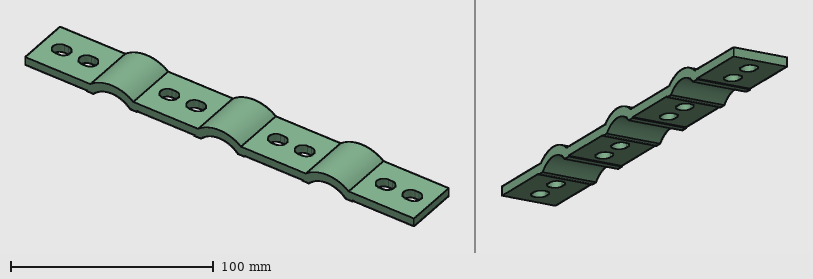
import cadquery as cq
import math

length = 233.0
width = 30.3
height = 10.0
plate_thickness = 5.0
foot_drop = 0.5
plate_top = foot_drop + plate_thickness

saddle_pitch = 64.5
saddle_length = 30.0
outer_radius = 20.0
inner_radius = 15.0
arch_center_z = height - outer_radius
saddle_centers = [-saddle_pitch, 0, saddle_pitch]

slot_length = 10.3
slot_width = 8.0
end_to_first_slot = 11.5
slot_spacing = 16.0


def half_chord(radius, z):
    """Half the width of an arch circle at height z."""
    return math.sqrt(radius**2 - (z - arch_center_z) ** 2)


def make_plate():
    """Flat strip running the full length."""
    return cq.Workplane("XY", origin=(0, 0, foot_drop)).box(
        length, width, plate_thickness, centered=(True, True, False)
    )


def make_saddle(x):
    """Arched section with two short flat feet."""
    half_length = saddle_length / 2
    outer_half = half_chord(outer_radius, plate_top)
    inner_half = half_chord(inner_radius, 0)
    inner_top = arch_center_z + inner_radius
    return (
        cq.Workplane("XZ", origin=(x, 0, 0))
        .moveTo(-half_length, 0)
        .lineTo(-half_length, plate_top)
        .lineTo(-outer_half, plate_top)
        .threePointArc((0, height), (outer_half, plate_top))
        .lineTo(half_length, plate_top)
        .lineTo(half_length, 0)
        .lineTo(inner_half, 0)
        .threePointArc((0, inner_top), (-inner_half, 0))
        .close()
        .extrude(width / 2, both=True)
    )


def make_slots():
    """Cutters for one pair of slots on each of the four flat sections."""
    first_slot = -length / 2 + end_to_first_slot
    left_slots = [
        first_slot + section * saddle_pitch + slot * slot_spacing
        for section in range(2)
        for slot in range(2)
    ]
    points = [(side * x, 0) for side in (1, -1) for x in left_slots]
    return cq.Workplane("XY").pushPoints(points).slot2D(slot_length, slot_width).extrude(height)


result = make_plate()

for x in saddle_centers:
    opening = cq.Workplane("XY", origin=(x, 0, 0)).box(
        saddle_length, width, height, centered=(True, True, False)
    )
    result = result.cut(opening)

for x in saddle_centers:
    result = result.union(make_saddle(x))

result = result.cut(make_slots())